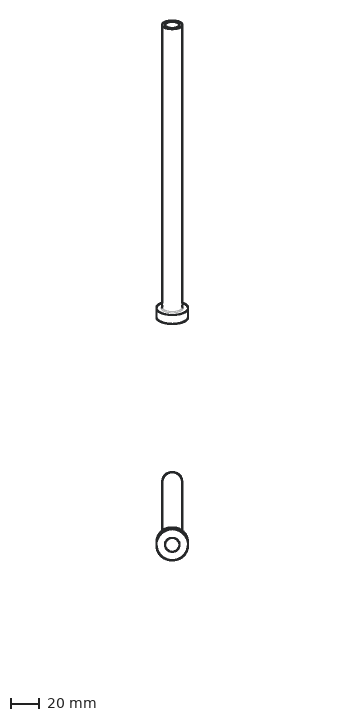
import cadquery as cq

total_length = 225.0
head_diameter = 22.0
head_height = 7.0
shank_diameter = 14.0
bore_diameter = 10.0
neck_fillet = 0.7

head_radius = head_diameter / 2
shank_radius = shank_diameter / 2
bore_radius = bore_diameter / 2

half_section = (
    cq.Workplane("XZ")
    .moveTo(bore_radius, 0)
    .lineTo(head_radius, 0)
    .lineTo(head_radius, head_height)
    .lineTo(shank_radius + neck_fillet, head_height)
    .radiusArc((shank_radius, head_height + neck_fillet), neck_fillet)
    .lineTo(shank_radius, total_length)
    .lineTo(bore_radius, total_length)
    .close()
)

result = half_section.revolve(360, (0, 0, 0), (0, 1, 0))